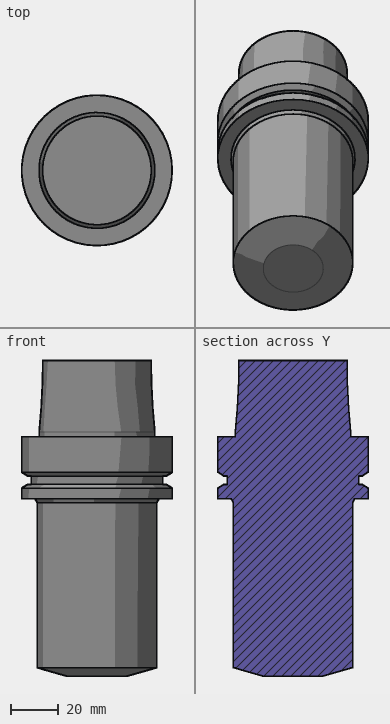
import cadquery as cq

flange_diameter = 63.0
groove_diameter = 55.0
groove_mouth_diameter = 58.1
collar_diameter = 51.9
body_diameter = 50.0
tip_diameter = 25.1
shank_base_diameter = 48.5
shank_top_diameter = 45.4

total_height = 132.0
tip_height = 3.5
body_top = 72.6
flange_bottom = 74.2
flange_top = 100.2
groove_bottom = 80.3
groove_top = 83.7
groove_slope_height = 1.6
shank_base_height = 2.1

flange_radius = flange_diameter / 2
groove_radius = groove_diameter / 2
groove_mouth_radius = groove_mouth_diameter / 2
body_radius = body_diameter / 2
shank_base_radius = shank_base_diameter / 2
shank_top_radius = shank_top_diameter / 2
shank_base_top = flange_top + shank_base_height

flare_mid_radius = shank_top_radius + (shank_base_radius - shank_top_radius) / 4
flare_mid_height = (shank_base_top + total_height) / 2

half_section = (
    cq.Workplane("XZ")
    .moveTo(0, 0)
    .lineTo(tip_diameter / 2, 0)
    .lineTo(body_radius, tip_height)
    .lineTo(body_radius, body_top)
    .lineTo(collar_diameter / 2, flange_bottom)
    .lineTo(flange_radius, flange_bottom)
    .lineTo(flange_radius, groove_bottom - groove_slope_height)
    .lineTo(groove_mouth_radius, groove_bottom)
    .lineTo(groove_radius, groove_bottom)
    .lineTo(groove_radius, groove_top)
    .lineTo(groove_mouth_radius, groove_top)
    .lineTo(flange_radius, groove_top + groove_slope_height)
    .lineTo(flange_radius, flange_top)
    .lineTo(shank_base_radius, flange_top)
    .lineTo(shank_base_radius, shank_base_top)
    .threePointArc((flare_mid_radius, flare_mid_height), (shank_top_radius, total_height))
    .lineTo(0, total_height)
    .close()
)

result = half_section.revolve(360, (0, 0), (0, 1))